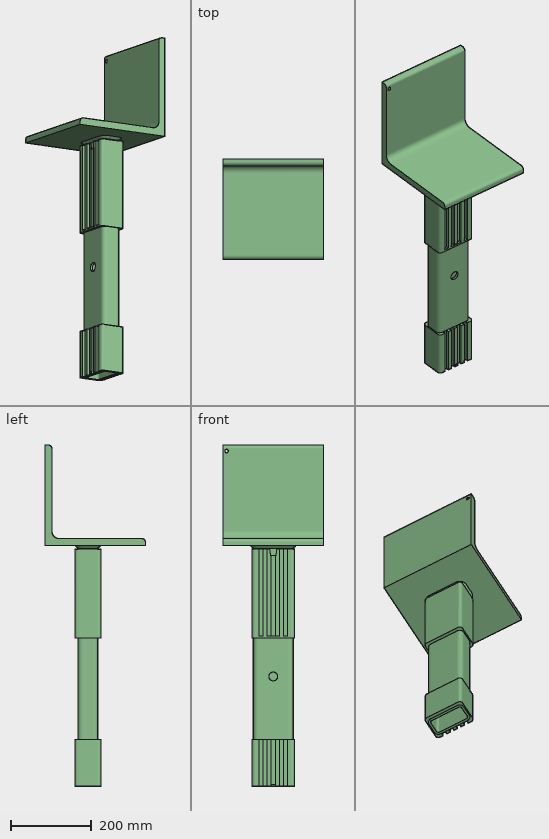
import cadquery as cq

TOTAL_HEIGHT = 848

BRACKET_LEG = 250.0
BRACKET_LENGTH = 250.0
BRACKET_THICKNESS = 18.0
ROOT_RADIUS = 18.0
TOE_RADIUS = 9.0
BRACKET_BOTTOM = TOTAL_HEIGHT - BRACKET_LEG
BRACKET_BACK = 107.0
MARK_HOLE_DIAMETER = 8.0
MARK_HOLE_FROM_END = 9.0
MARK_HOLE_FROM_TOP = 15.0

POST_WIDTH = 100.0
POST_DEPTH = 50.0
POST_RADIUS = 12.0
POST_WALL = 6.0
POST_HOLE_DIAMETER = 22.0
POST_HOLE_HEIGHT = 273.0

WELD_LEG = 7.0

SLEEVE_WIDTH = 106.0
SLEEVE_DEPTH = 65.0
SLEEVE_RADIUS = 8.0
LOWER_SLEEVE_TOP = 117.0
UPPER_SLEEVE_BOTTOM = 368.0
UPPER_SLEEVE_GAP = 8.5
UPPER_SLEEVE_TOP = BRACKET_BOTTOM - UPPER_SLEEVE_GAP
GROOVE_WIDTH = 10.0
GROOVE_DEPTH = 7.0
RIB_WIDTH = 10.0
CENTRE_RIB_RECESS = 2.0
GROOVE_END = 5.0

NOTCH_TOP_WIDTH = 18.0
NOTCH_BOTTOM_WIDTH = 13.5
NOTCH_HEIGHT = 16.0


def rounded_bar(width, depth, radius, bottom, top):
    """Upright bar on the Z axis with rounded vertical edges."""
    bar = cq.Workplane("XY", origin=(0, 0, bottom)).rect(width, depth).extrude(top - bottom)
    return bar.edges("|Z").fillet(radius)


def make_bracket():
    inner_y = BRACKET_BACK - BRACKET_THICKNESS
    inner_z = BRACKET_BOTTOM + BRACKET_THICKNESS
    front_y = BRACKET_BACK - BRACKET_LEG
    outline = [
        (BRACKET_BACK, BRACKET_BOTTOM),
        (BRACKET_BACK, TOTAL_HEIGHT),
        (inner_y, TOTAL_HEIGHT),
        (inner_y, inner_z),
        (front_y, inner_z),
        (front_y, BRACKET_BOTTOM),
    ]
    angle = cq.Workplane("YZ").polyline(outline).close().extrude(BRACKET_LENGTH / 2, both=True)
    for corner_y, corner_z, radius in (
        (inner_y, inner_z, ROOT_RADIUS),
        (inner_y, TOTAL_HEIGHT, TOE_RADIUS),
        (front_y, inner_z, TOE_RADIUS),
    ):
        corner = cq.selectors.NearestToPointSelector((0, corner_y, corner_z))
        angle = angle.edges("|X").edges(corner).fillet(radius)
    mark_hole = (
        cq.Workplane("XZ", origin=(0, BRACKET_BACK, 0))
        .center(MARK_HOLE_FROM_END - BRACKET_LENGTH / 2, TOTAL_HEIGHT - MARK_HOLE_FROM_TOP)
        .circle(MARK_HOLE_DIAMETER / 2)
        .extrude(BRACKET_THICKNESS)
    )
    return angle.cut(mark_hole)


def make_post_blank():
    """Outer shape of the post, without its bore."""
    return rounded_bar(POST_WIDTH, POST_DEPTH, POST_RADIUS, 0, BRACKET_BOTTOM)


def make_post():
    bore = rounded_bar(
        POST_WIDTH - 2 * POST_WALL,
        POST_DEPTH - 2 * POST_WALL,
        POST_RADIUS - POST_WALL,
        0,
        BRACKET_BOTTOM,
    )
    front_hole = (
        cq.Workplane("XZ")
        .center(0, POST_HOLE_HEIGHT)
        .circle(POST_HOLE_DIAMETER / 2)
        .extrude(POST_DEPTH)
    )
    return make_post_blank().cut(bore).cut(front_hole)


def make_weld():
    """Bead with 45 degree sides, narrowing downward to the outline of the post."""
    bead = (
        cq.Workplane("XY", origin=(0, 0, BRACKET_BOTTOM - WELD_LEG))
        .sketch()
        .rect(POST_WIDTH, POST_DEPTH)
        .vertices()
        .fillet(POST_RADIUS)
        .finalize()
        .extrude(WELD_LEG, taper=-45)
    )
    return bead.cut(make_post_blank())


def front_groove(x, width, depth, bottom, top):
    """Cutter for one upright groove in the front face of a sleeve."""
    return (
        cq.Workplane("XY", origin=(x, -SLEEVE_DEPTH / 2, bottom))
        .rect(width, 2 * depth)
        .extrude(top - bottom)
    )


def make_sleeve(bottom, top, groove_bottom):
    """Sleeve that fits around the post; four grooves in front run from groove_bottom to the top.

    The centre rib is set back a little above its foot.
    """
    sleeve = rounded_bar(SLEEVE_WIDTH, SLEEVE_DEPTH, SLEEVE_RADIUS, bottom, top)
    sleeve = sleeve.cut(make_post_blank())
    groove_pitch = RIB_WIDTH + GROOVE_WIDTH
    inner_groove_x = groove_pitch / 2
    outer_groove_x = inner_groove_x + groove_pitch
    for groove_x in (-outer_groove_x, -inner_groove_x, inner_groove_x, outer_groove_x):
        sleeve = sleeve.cut(front_groove(groove_x, GROOVE_WIDTH, GROOVE_DEPTH, groove_bottom, top))
    rib_recess = front_groove(0, RIB_WIDTH, CENTRE_RIB_RECESS, bottom + GROOVE_END, top)
    return sleeve.cut(rib_recess)


def cut_notch(sleeve, top):
    """Cut the tapered notch through the front wall, at the top edge."""
    notch = (
        cq.Workplane("XZ")
        .polyline(
            [
                (-NOTCH_TOP_WIDTH / 2, top),
                (NOTCH_TOP_WIDTH / 2, top),
                (NOTCH_BOTTOM_WIDTH / 2, top - NOTCH_HEIGHT),
                (-NOTCH_BOTTOM_WIDTH / 2, top - NOTCH_HEIGHT),
            ]
        )
        .close()
        .extrude(SLEEVE_DEPTH)
    )
    return sleeve.cut(notch)


bracket = make_bracket()
post = make_post()
weld = make_weld()
lower_sleeve = make_sleeve(0, LOWER_SLEEVE_TOP, 0)
upper_sleeve = make_sleeve(
    UPPER_SLEEVE_BOTTOM, UPPER_SLEEVE_TOP, UPPER_SLEEVE_BOTTOM + GROOVE_END
)
upper_sleeve = cut_notch(upper_sleeve, UPPER_SLEEVE_TOP)

result = cq.Compound.makeCompound(
    [bracket.val(), post.val(), weld.val(), lower_sleeve.val(), upper_sleeve.val()]
)